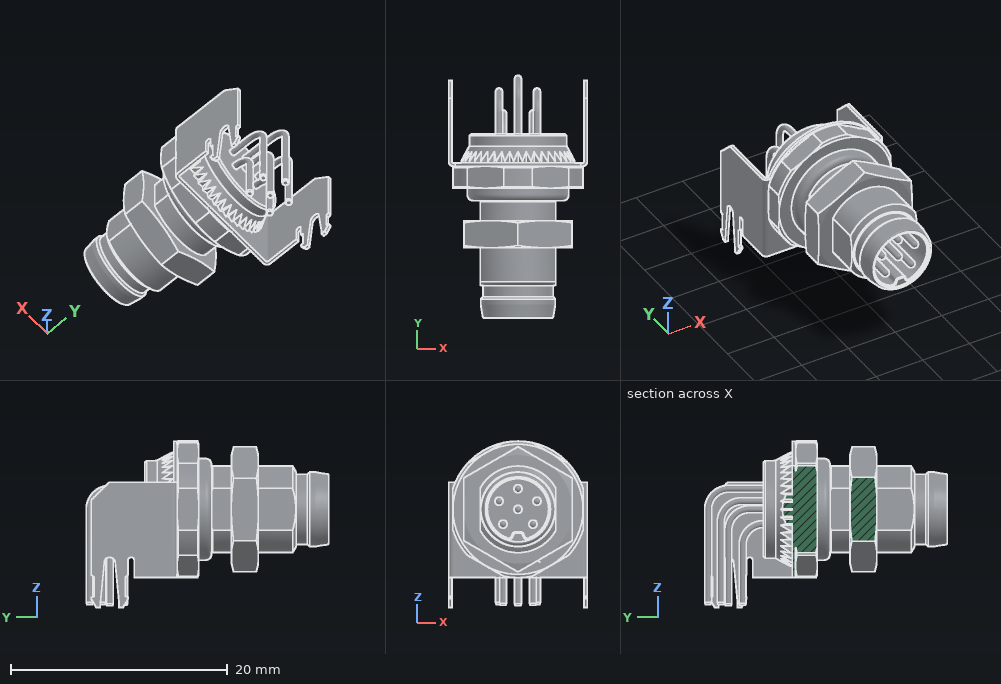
import cadquery as cq
import math


TIP_Y = -14.0
TIP_RADIUS = 3.25
TIP_ROUND = 0.2
BARB_RADIUS = 3.45
BARB_TAPER_END_Y = -12.75
BARB_BACK_Y = -12.24
GROOVE_FRONT_Y = -12.0
GROOVE_RADIUS = 3.25
BARREL_FRONT_Y = -11.0
BARREL_FRONT_RADIUS = 3.4
BARREL_CHAMFER_Y = -10.65
BARREL_RADIUS = 4.0
BARREL_FLATS_WIDTH = 7.0
BARREL_BACK_CHAMFER = 0.1

COLLAR_FRONT_Y = -3.18
COLLAR_RADIUS = 4.7
COLLAR_ROUND = 0.58

NUT_FRONT_Y = -7.5
NUT_BACK_Y = -5.0
NUT_ACROSS_FLATS = 10.0
NUT_CHAMFER_LENGTH = 0.2
FLANGE_FRONT_Y = -2.0
FLANGE_ACROSS_FLATS = 12.0
FLANGE_RADIUS = 6.3
FLANGE_CHAMFER_LENGTH = 0.12

REAR_Y = 3.0
REAR_RADIUS = 4.5
REAR_CHAMFER = 0.2
REAR_STEP_Y = 1.99
CONE_SMALL_Y = 1.84
CONE_SMALL_RADIUS = 4.52
KNURL_COUNT = 40
KNURL_ROOT_RADIUS = 4.78
KNURL_CREST_RADIUS = 5.25
KNURL_TOP_RADIUS = 5.34

BRACKET_WIDTH = 12.8
SHEET = 0.32
BEND_OUTER_RADIUS = 0.45
SIDE_TOP_Z = 2.5
BRACKET_BOTTOM_Z = -6.3
SIDE_REAR_Y = 7.93
SIDE_CHAMFER = 1.66
LEG_BOTTOM_Z = -9.05
LEG_SLOT_Y = 6.22
LEG_SLOT_RADIUS = 0.5
LEG_SLOT_CENTER_Z = -4.93
LEG_SLOT_FOOT_HALF_WIDTH = 0.86
LEG_SLOT_FOOT_Z = -8.65
LEG_HALF_WIDTH = SIDE_REAR_Y - LEG_SLOT_Y
LEG_NECK_HALF_WIDTH = 1.44
LEG_NECK_TOP_Z = -6.25
LEG_NECK_BOTTOM_Z = -8.02
LEG_NECK_STEP = 0.2
LEG_BARB_BEVEL_Z = -8.25
LEG_TIP_HALF_WIDTH = 1.25
RELIEF_WIDTH = 0.55
RELIEF_TOP_Z = -4.43

CAVITY_RADIUS = 2.82
CAVITY_FLOOR_Y = -8.0
INSERT_FRONT_Y = -13.88
SHELL_BORE_RADIUS = 3.0
MOUTH_CHAMFER_WIDTH = 0.12
MOUTH_CHAMFER_DEPTH = 0.06
KEY_TOP_Z = -2.08
KEY_TOP_HALF_WIDTH = 0.43
KEY_ROOT_HALF_WIDTH = 0.82
KEY_TOP_ROUND = 0.25
KEY_ROOT_ROUND = 0.3

PIN_RADIUS = 0.375
PIN_FRONT_Y = -13.75
TAIL_RADIUS = 0.325
TAIL_BEND_RADIUS = 1.9
TAIL_TIP_CHAMFER = 0.2
TAIL_TIP_INSET = 0.07
CONTACTS = [
    (0.0, 1.9, 8.075, -8.78),
    (-1.75, 0.75, 6.9, -8.78),
    (1.75, 0.75, 6.9, -8.78),
    (0.0, 0.0, 6.2, -8.91),
    (-1.38, -1.36, 4.88, -8.85),
    (1.38, -1.36, 4.88, -8.85),
]


def revolve_about_y(points):
    """Solid of revolution about Y from (radius, y) points."""
    return cq.Workplane("XY").polyline(points).close().revolve(360, (0, 0, 0), (0, 1, 0))


def cylinder(radius, start_y, end_y):
    return cq.Workplane("XZ", origin=(0, start_y, 0)).circle(radius).extrude(start_y - end_y)


def chamfered_hexagon(across_flats, outer_radius, front_y, back_y, chamfer_length):
    """Hexagon with flats facing +-X, bounded by a cylinder with both ends beveled."""
    apothem = across_flats / 2
    corner_diameter = across_flats / math.cos(math.pi / 6)
    hexagon = (
        cq.Workplane("XZ", origin=(0, back_y, 0))
        .polygon(6, corner_diameter)
        .extrude(back_y - front_y)
        .rotate((0, 0, 0), (0, 1, 0), 30)
    )
    envelope = revolve_about_y([
        (0, front_y),
        (apothem, front_y),
        (outer_radius, front_y + chamfer_length),
        (outer_radius, back_y - chamfer_length),
        (apothem, back_y),
        (0, back_y),
    ])
    return hexagon.intersect(envelope)


def make_mating_tip():
    tip = revolve_about_y([
        (0, TIP_Y),
        (TIP_RADIUS, TIP_Y),
        (BARB_RADIUS, BARB_TAPER_END_Y),
        (BARB_RADIUS, BARB_BACK_Y),
        (GROOVE_RADIUS, GROOVE_FRONT_Y),
        (GROOVE_RADIUS, BARREL_FRONT_Y),
        (0, BARREL_FRONT_Y),
    ])
    return tip.faces("<Y").edges().fillet(TIP_ROUND)


def make_barrel():
    chamfer_y = COLLAR_FRONT_Y - BARREL_BACK_CHAMFER
    barrel = revolve_about_y([
        (0, BARREL_FRONT_Y),
        (BARREL_FRONT_RADIUS, BARREL_FRONT_Y),
        (BARREL_RADIUS, BARREL_CHAMFER_Y),
        (BARREL_RADIUS, chamfer_y),
        (BARREL_RADIUS - BARREL_BACK_CHAMFER, COLLAR_FRONT_Y),
        (0, COLLAR_FRONT_Y),
    ])
    length = COLLAR_FRONT_Y - BARREL_FRONT_Y
    flats = (
        cq.Workplane("XY")
        .box(BARREL_FLATS_WIDTH, length, 2 * BARREL_RADIUS)
        .translate((0, BARREL_FRONT_Y + length / 2, 0))
    )
    return barrel.intersect(flats)


def make_collar():
    collar = cylinder(COLLAR_RADIUS, FLANGE_FRONT_Y, COLLAR_FRONT_Y)
    return collar.faces("<Y").edges().fillet(COLLAR_ROUND)


def make_rear_housing():
    housing = revolve_about_y([
        (0, 0),
        (KNURL_TOP_RADIUS, 0),
        (KNURL_TOP_RADIUS, SHEET),
        (CONE_SMALL_RADIUS, CONE_SMALL_Y),
        (REAR_RADIUS, REAR_STEP_Y),
        (REAR_RADIUS, REAR_Y - REAR_CHAMFER),
        (REAR_RADIUS - REAR_CHAMFER, REAR_Y),
        (0, REAR_Y),
    ])
    half_pitch = math.pi * KNURL_CREST_RADIUS / KNURL_COUNT
    slope = half_pitch / (KNURL_CREST_RADIUS - KNURL_ROOT_RADIUS)
    cutter_radius = KNURL_TOP_RADIUS + SHEET
    cutter_half_width = slope * (cutter_radius - KNURL_ROOT_RADIUS)
    groove = (
        cq.Workplane("XZ", origin=(0, CONE_SMALL_Y, 0))
        .moveTo(0, KNURL_ROOT_RADIUS)
        .lineTo(cutter_half_width, cutter_radius)
        .lineTo(-cutter_half_width, cutter_radius)
        .close()
        .extrude(CONE_SMALL_Y - SHEET)
    )
    for index in range(KNURL_COUNT):
        housing = housing.cut(groove.rotate((0, 0, 0), (0, 1, 0), index * 360 / KNURL_COUNT))
    return housing


def make_side_profile():
    """Bracket side outline in the YZ plane, with split snap-in legs."""
    front_leg_y = LEG_SLOT_Y - LEG_HALF_WIDTH
    relief_front_y = front_leg_y - RELIEF_WIDTH
    relief_radius = RELIEF_WIDTH / 2

    def leg_edge(side):
        """Outer edge of one leg, from the shoulder down to the slot foot."""
        return [
            (LEG_SLOT_Y + side * LEG_HALF_WIDTH, LEG_NECK_TOP_Z + LEG_NECK_STEP),
            (LEG_SLOT_Y + side * LEG_NECK_HALF_WIDTH, LEG_NECK_TOP_Z),
            (LEG_SLOT_Y + side * LEG_NECK_HALF_WIDTH, LEG_NECK_BOTTOM_Z),
            (LEG_SLOT_Y + side * LEG_HALF_WIDTH, LEG_NECK_BOTTOM_Z - LEG_NECK_STEP / 2),
            (LEG_SLOT_Y + side * LEG_HALF_WIDTH, LEG_BARB_BEVEL_Z),
            (LEG_SLOT_Y + side * LEG_TIP_HALF_WIDTH, LEG_BOTTOM_Z),
            (LEG_SLOT_Y + side * LEG_SLOT_FOOT_HALF_WIDTH, LEG_BOTTOM_Z),
            (LEG_SLOT_Y + side * LEG_SLOT_FOOT_HALF_WIDTH, LEG_SLOT_FOOT_Z),
        ]

    outline = cq.Workplane("YZ").moveTo(0, SIDE_TOP_Z)
    outline = outline.lineTo(SIDE_REAR_Y - SIDE_CHAMFER, SIDE_TOP_Z)
    outline = outline.lineTo(SIDE_REAR_Y, SIDE_TOP_Z - SIDE_CHAMFER)
    for y, z in leg_edge(1):
        outline = outline.lineTo(y, z)
    outline = (
        outline
        .lineTo(LEG_SLOT_Y + LEG_SLOT_RADIUS, LEG_SLOT_CENTER_Z)
        .threePointArc(
            (LEG_SLOT_Y, LEG_SLOT_CENTER_Z + LEG_SLOT_RADIUS),
            (LEG_SLOT_Y - LEG_SLOT_RADIUS, LEG_SLOT_CENTER_Z),
        )
    )
    for y, z in reversed(leg_edge(-1)):
        outline = outline.lineTo(y, z)
    return (
        outline
        .lineTo(front_leg_y, RELIEF_TOP_Z - relief_radius)
        .threePointArc(
            (front_leg_y - relief_radius, RELIEF_TOP_Z),
            (relief_front_y, RELIEF_TOP_Z - relief_radius),
        )
        .lineTo(relief_front_y, BRACKET_BOTTOM_Z)
        .lineTo(0, BRACKET_BOTTOM_Z)
        .close()
    )


def make_bracket():
    half_width = BRACKET_WIDTH / 2
    height = FLANGE_RADIUS - LEG_BOTTOM_Z
    outer = (
        cq.Workplane("XY", origin=(0, 0, LEG_BOTTOM_Z))
        .rect(BRACKET_WIDTH, 2 * SIDE_REAR_Y)
        .extrude(height)
        .translate((0, SIDE_REAR_Y, 0))
        .edges("|Z and <Y")
        .fillet(BEND_OUTER_RADIUS)
    )
    inner = (
        cq.Workplane("XY", origin=(0, 0, LEG_BOTTOM_Z))
        .rect(BRACKET_WIDTH - 2 * SHEET, 2 * SIDE_REAR_Y)
        .extrude(height)
        .translate((0, SIDE_REAR_Y + SHEET, 0))
        .edges("|Z and <Y")
        .fillet(BEND_OUTER_RADIUS - SHEET)
    )
    channel = outer.cut(inner)
    sides = make_side_profile().extrude(half_width, both=True)
    above_sides = (
        cq.Workplane("XY", origin=(0, 0, SIDE_TOP_Z))
        .rect(BRACKET_WIDTH, BRACKET_WIDTH)
        .extrude(FLANGE_RADIUS)
    )
    round_top = cylinder(FLANGE_RADIUS, SHEET, 0).intersect(above_sides)
    return channel.intersect(sides).union(round_top)


def cut_contact_cavity(body):
    """Round contact cavity open at the mating end, with a polarizing key at the bottom."""
    depth = CAVITY_FLOOR_Y - INSERT_FRONT_Y
    key = (
        cq.Workplane("XZ", origin=(0, CAVITY_FLOOR_Y, 0))
        .moveTo(-KEY_TOP_HALF_WIDTH, KEY_TOP_Z)
        .lineTo(KEY_TOP_HALF_WIDTH, KEY_TOP_Z)
        .lineTo(KEY_ROOT_HALF_WIDTH, -SHELL_BORE_RADIUS)
        .lineTo(-KEY_ROOT_HALF_WIDTH, -SHELL_BORE_RADIUS)
        .close()
        .extrude(depth)
        .edges("|Y and >Z")
        .fillet(KEY_TOP_ROUND)
    )
    cavity = cylinder(CAVITY_RADIUS, CAVITY_FLOOR_Y, INSERT_FRONT_Y).cut(key)
    root_box = cq.selectors.BoxSelector(
        (-CAVITY_RADIUS, CAVITY_FLOOR_Y, -SHELL_BORE_RADIUS),
        (CAVITY_RADIUS, INSERT_FRONT_Y, KEY_TOP_Z - KEY_TOP_ROUND),
    )
    cavity = cavity.edges("|Y").edges(root_box).fillet(KEY_ROOT_ROUND)
    mouth_angle = math.degrees(math.atan2(MOUTH_CHAMFER_WIDTH, MOUTH_CHAMFER_DEPTH))
    mouth_wire = cavity.faces("<Y").wires().val().translate(cq.Vector(0, MOUTH_CHAMFER_DEPTH, 0))
    mouth = (
        cq.Workplane("XZ", origin=(0, INSERT_FRONT_Y + MOUTH_CHAMFER_DEPTH, 0))
        .add(mouth_wire)
        .toPending()
        .extrude(MOUTH_CHAMFER_DEPTH, taper=-mouth_angle)
    )
    shell_bore = cylinder(SHELL_BORE_RADIUS, INSERT_FRONT_Y, TIP_Y)
    return body.cut(cavity).cut(mouth).cut(shell_bore)


def make_contact(x, z, tail_y, tail_end_z):
    """Domed front pin, and a tail that bends down to a chamfered solder end."""
    pin = cylinder(PIN_RADIUS, CAVITY_FLOOR_Y, PIN_FRONT_Y + PIN_RADIUS).translate((x, 0, z))
    dome = cq.Workplane("XY", origin=(x, PIN_FRONT_Y + PIN_RADIUS, z)).sphere(PIN_RADIUS)
    start_y = REAR_Y - TAIL_BEND_RADIUS
    bend_start_y = tail_y - TAIL_BEND_RADIUS
    bend_end_z = z - TAIL_BEND_RADIUS
    bend_offset = TAIL_BEND_RADIUS * math.sin(math.pi / 4)
    path = (
        cq.Workplane("YZ", origin=(x, 0, 0))
        .moveTo(start_y, z)
        .lineTo(bend_start_y, z)
        .threePointArc((bend_start_y + bend_offset, bend_end_z + bend_offset), (tail_y, bend_end_z))
        .lineTo(tail_y, tail_end_z)
    )
    tail = cq.Workplane("XZ", origin=(x, start_y, z)).circle(TAIL_RADIUS).sweep(path)
    tail = tail.faces("<Z").chamfer(TAIL_TIP_CHAMFER, TAIL_TIP_INSET)
    return pin.union(dome).union(tail)


def make_nut():
    corner_radius = NUT_ACROSS_FLATS / 2 / math.cos(math.pi / 6)
    return chamfered_hexagon(
        NUT_ACROSS_FLATS, corner_radius, NUT_FRONT_Y, NUT_BACK_Y, NUT_CHAMFER_LENGTH
    )


def make_flange():
    return chamfered_hexagon(
        FLANGE_ACROSS_FLATS, FLANGE_RADIUS, FLANGE_FRONT_Y, 0, FLANGE_CHAMFER_LENGTH
    )


core = make_mating_tip().union(make_barrel()).union(make_collar()).union(make_nut())
result = cut_contact_cavity(core)
result = result.union(make_flange()).union(make_bracket()).union(make_rear_housing())
for pin_x, pin_z, tail_y, tail_end_z in CONTACTS:
    result = result.union(make_contact(pin_x, pin_z, tail_y, tail_end_z))